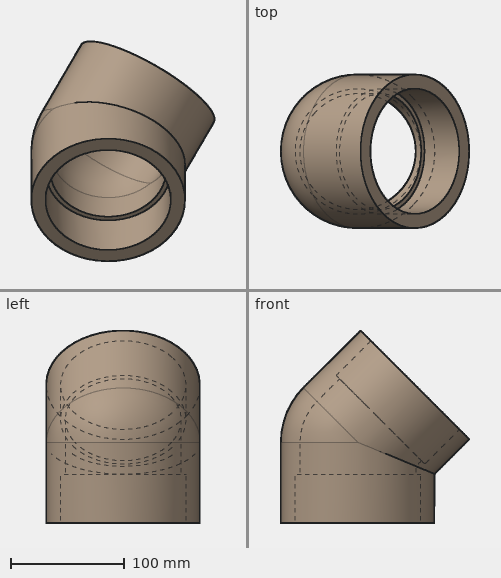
import cadquery as cq
import math

bend_angle = 45.0
overall_height = 169.0
outer_diameter = 135.0
socket_diameter = 110.0
bore_diameter = 101.7
stop_distance = 28.0

bend = math.radians(bend_angle)
outer_radius = outer_diameter / 2
arm_length = (overall_height - outer_radius * math.sin(bend)) / (1 + math.cos(bend))

lower_direction = cq.Vector(0, 0, -1)
upper_direction = cq.Vector(math.sin(bend), 0, math.cos(bend))
arm_directions = (lower_direction, upper_direction)


def arm_cylinder(diameter, start, end, direction):
    """Cylinder along an arm axis between two distances from the elbow centre."""
    return cq.Workplane(
        cq.Solid.makeCylinder(diameter / 2, end - start, direction * start, direction)
    )


def elbow(diameter):
    """Two full-length arms of one diameter joined by a ball of the same diameter."""
    body = cq.Workplane("XY").sphere(diameter / 2)
    for direction in arm_directions:
        body = body.union(arm_cylinder(diameter, 0, arm_length, direction))
    return body


result = elbow(outer_diameter).cut(elbow(bore_diameter))

for direction in arm_directions:
    result = result.cut(arm_cylinder(socket_diameter, stop_distance, arm_length, direction))